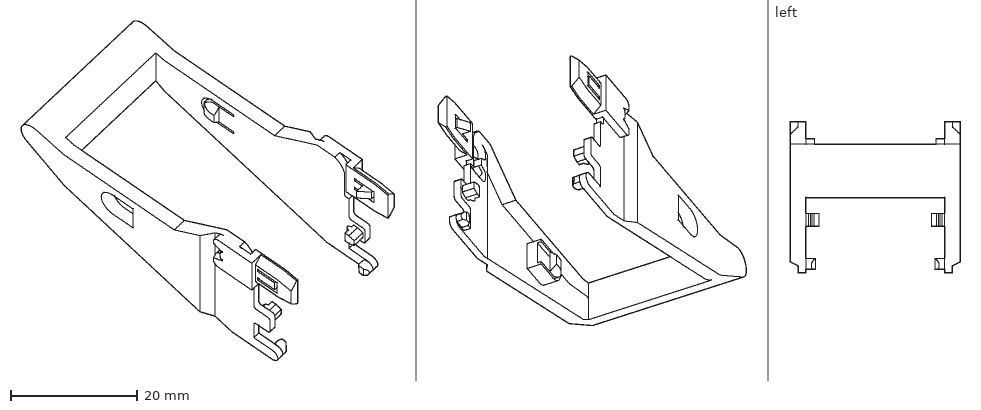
import cadquery as cq
import math

LENGTH = 55.4
WIDTH = 27.0
HEIGHT = 23.95
WALL = 2.5

HANDLE_RADIUS = 2.55
HANDLE_Z = 17.85
BAR_DEPTH = 7.15
HANDLE_TOP_CORNER = (8.9, 18.8)
HANDLE_BOTTOM_CORNER = (9.0, 10.7)

SLOPE_FOOT_X = 31.85
SLOPE_TOP_X = 40.65
SLOPE_TOP_RADIUS = 1.2
BASE_START_X = 42.75
WALL_END_X = 47.3
WALL_NECK_X = 46.4
NECK_Z = 15.45
CREST_END_X = 44.4
CREST_RADIUS = 3.45
TAB_END_X = 50.7
TAB_BOTTOM = 6.5
TAB_TOP = 10.3
CORNER_RADIUS = 0.55
NECK_RADIUS = 0.35
FOOT_END_X = 52.3
FOOT_HEIGHT = 2.45

SHOULDER_START_X = 37.2
SHOULDER_END_X = 39.3
PAD_DEPTH = 1.3

PAD_START_X = 40.0
PAD_END_X = 48.0
PAD_BOTTOM = 16.85
PAD_RADIUS = 1.05
PAD_MID_Z = (PAD_BOTTOM + HEIGHT) / 2
BLOCK_START_X = 46.65

NOTCH_DEPTH = 1.4
BARB_DEPTH = 1.9
NOTCH_HALF = 0.65
NOTCH_SLOPE = 0.4
NOTCH_FLARE = 0.65
FLARE_DEPTH = 0.8
NOTCH_LIP_RADIUS = 0.45

ARM_OUTER_Y = 0.9
ARM_TAPER_X = 52.75
ARM_TAPER = 0.5
ARM_CHAMFER = 1.35
ARM_SLOT_START_X = 48.4
ARM_SLOT_END_X = 52.45
ARM_SLOT_HALF = 1.4
ARM_SLOT_GAP = 0.5
LATCH_START_X = 50.1
LATCH_HEIGHT = 1.4

WINDOW_END_X = 23.25
WINDOW_CENTER_X = 19.15
WINDOW_Z = 14.4
WINDOW_RADIUS = 2.5
WINDOW_GAP = 0.5
TONGUE_RADIUS = WINDOW_RADIUS - WINDOW_GAP
TONGUE_TIP_X = WINDOW_CENTER_X - TONGUE_RADIUS
TONGUE_BEND_X = 19.65
TONGUE_THICKNESS = 0.65
TIP_THICKNESS = 0.3
BUMP_HEIGHT = 1.2
BUMP_FLAT_X = 19.4
BUMP_END_X = 20.35
BUMP_MID = (18.15, 3.4)
BUMP_FLAT_HALF = 0.95

PEG_START_X = 48.25
PEG_END_X = 50.2
PEG_BOTTOM = 7.35
PEG_TOP = 9.4
PEG_HEIGHT = 2.1
PEG_BEVEL_X = 1.1
PEG_BEVEL_Z = 0.4
RIB_DEPTH = 0.55
RIB_START_Y = 2.95
RIB_WIDTH = 0.85
RIB_TAPER = 0.3

FOOT_PEG_RADIUS = 1.1
FOOT_PEG_HEIGHT = 1.55
FOOT_PEG_BOTTOM = 0.55
FOOT_PEG_CHAMFER = 0.65


def prism_y(points, y_start, y_end):
    """Extrude an XZ outline from y_start to y_end."""
    plane = cq.Workplane("XZ", origin=(0, y_start, 0))
    return plane.polyline(points).close().extrude(y_start - y_end)


def prism_z(points, z_start, z_end):
    """Extrude an XY outline from z_start to z_end."""
    plane = cq.Workplane("XY").workplane(offset=z_start)
    return plane.polyline(points).close().extrude(z_end - z_start)


def box(x_range, y_range, z_range):
    size = [end - start for start, end in (x_range, y_range, z_range)]
    corner = (x_range[0], y_range[0], z_range[0])
    return cq.Workplane("XY").box(*size, centered=False).translate(corner)


def round_corner(body, x, z, radius):
    """Fillet the edge along Y that passes nearest to (x, z)."""
    nearest = cq.selectors.NearestToPointSelector((x, WALL / 2, z))
    return body.edges("|Y").edges(nearest).fillet(radius)


def handle_tangent(corner, side):
    """Point where the line through corner touches the handle circle; side is +1 for its top."""
    dx = corner[0] - HANDLE_RADIUS
    dz = corner[1] - HANDLE_Z
    angle = math.atan2(dz, dx) + side * math.acos(HANDLE_RADIUS / math.hypot(dx, dz))
    x = HANDLE_RADIUS * (1 + math.cos(angle))
    z = HANDLE_Z + HANDLE_RADIUS * math.sin(angle)
    return (x, z)


def crest_arc():
    """Middle and end of the arc from the wall top to the neck, which it meets tangentially."""
    center_x = WALL_NECK_X - CREST_RADIUS
    start_angle = math.acos((CREST_END_X - center_x) / CREST_RADIUS)
    center_z = HEIGHT - CREST_RADIUS * math.sin(start_angle)
    middle = (
        center_x + CREST_RADIUS * math.cos(start_angle / 2),
        center_z + CREST_RADIUS * math.sin(start_angle / 2),
    )
    return middle, (WALL_NECK_X, center_z)


def wall_blank(thickness):
    """Side profile at full thickness, with its corners rounded."""
    profile = (
        cq.Workplane("XZ")
        .moveTo(*handle_tangent(HANDLE_BOTTOM_CORNER, -1))
        .threePointArc((0, HANDLE_Z), handle_tangent(HANDLE_TOP_CORNER, 1))
        .lineTo(*HANDLE_TOP_CORNER)
        .lineTo(SLOPE_FOOT_X, HANDLE_TOP_CORNER[1])
        .lineTo(SLOPE_TOP_X, HEIGHT)
        .lineTo(CREST_END_X, HEIGHT)
        .threePointArc(*crest_arc())
        .lineTo(WALL_NECK_X, NECK_Z)
        .lineTo(WALL_END_X, NECK_Z)
        .lineTo(WALL_END_X, TAB_TOP)
        .lineTo(TAB_END_X, TAB_TOP)
        .lineTo(TAB_END_X, TAB_BOTTOM)
        .lineTo(WALL_END_X, TAB_BOTTOM)
        .lineTo(WALL_END_X, FOOT_HEIGHT)
        .lineTo(FOOT_END_X - FOOT_HEIGHT / 2, FOOT_HEIGHT)
        .threePointArc((FOOT_END_X, FOOT_HEIGHT / 2), (FOOT_END_X - FOOT_HEIGHT / 2, 0))
        .lineTo(BASE_START_X, 0)
        .lineTo(*HANDLE_BOTTOM_CORNER)
        .close()
    )
    body = profile.extrude(-thickness)
    for x in (WALL_END_X, TAB_END_X):
        for z in (TAB_BOTTOM, TAB_TOP):
            body = round_corner(body, x, z, CORNER_RADIUS)
    body = round_corner(body, WALL_NECK_X, NECK_Z, NECK_RADIUS)
    return round_corner(body, SLOPE_TOP_X, HEIGHT, SLOPE_TOP_RADIUS)


def rear_relief():
    """Volume removed outside the thinned rear part of the wall."""
    outline = [
        (SHOULDER_START_X, 0),
        (SHOULDER_END_X, PAD_DEPTH),
        (LENGTH, PAD_DEPTH),
        (LENGTH, 0),
    ]
    return prism_z(outline, 0, HEIGHT)


def notch_outline(depth, flare):
    """Trapezoid narrowing from the pad front edge to the given depth."""
    half_end = NOTCH_HALF + flare - NOTCH_SLOPE * (depth - NOTCH_DEPTH)
    half_start = half_end + NOTCH_SLOPE * depth
    end_x = PAD_START_X + depth
    return [
        (PAD_START_X, PAD_MID_Z - half_start),
        (end_x, PAD_MID_Z - half_end),
        (end_x, PAD_MID_Z + half_end),
        (PAD_START_X, PAD_MID_Z + half_start),
    ]


def barb_flare():
    """Part of the notch that flares toward the outer face and ends in two barbs."""
    flared = (
        cq.Workplane("XZ")
        .polyline(notch_outline(BARB_DEPTH, NOTCH_FLARE))
        .close()
        .workplane(offset=-FLARE_DEPTH)
        .polyline(notch_outline(BARB_DEPTH, 0))
        .close()
        .loft(ruled=True)
    )
    outer = notch_outline(BARB_DEPTH, NOTCH_FLARE)
    root = notch_outline(NOTCH_DEPTH, 0)
    star = prism_y(outer[:2] + root[1:3] + outer[2:], 0, FLARE_DEPTH)
    return flared.intersect(star)


def pad():
    """Outer pad with its notch and the block that stands behind the wall end."""
    body = box((PAD_START_X, PAD_END_X), (0, PAD_DEPTH), (PAD_BOTTOM, HEIGHT))
    body = body.edges("|Y and <X").fillet(PAD_RADIUS)
    notch = notch_outline(NOTCH_DEPTH, 0)
    body = body.cut(prism_y(notch, 0, PAD_DEPTH))
    for x, z in (notch[0], notch[-1]):
        body = round_corner(body, x, z, NOTCH_LIP_RADIUS)
    block = box((BLOCK_START_X, PAD_END_X), (PAD_DEPTH, WALL), (PAD_BOTTOM, HEIGHT))
    return body.cut(barb_flare()).union(block)


def clip_arm():
    """Tapered, bevelled arm with a U-slot that frees a latch tongue."""
    outline = [
        (PAD_END_X, PAD_BOTTOM),
        (ARM_TAPER_X, PAD_BOTTOM),
        (LENGTH, PAD_BOTTOM + ARM_TAPER),
        (LENGTH, HEIGHT - ARM_TAPER),
        (ARM_TAPER_X, HEIGHT),
        (PAD_END_X, HEIGHT),
    ]
    arm = prism_y(outline, ARM_OUTER_Y, WALL)
    arm = arm.faces("<Y").edges("not |Z").chamfer(ARM_CHAMFER)

    tongue_half = ARM_SLOT_HALF - ARM_SLOT_GAP
    tongue_end_x = ARM_SLOT_END_X - ARM_SLOT_GAP
    tongue_z = (PAD_MID_Z - tongue_half, PAD_MID_Z + tongue_half)
    slot_z = (PAD_MID_Z - ARM_SLOT_HALF, PAD_MID_Z + ARM_SLOT_HALF)
    slot = box((ARM_SLOT_START_X, ARM_SLOT_END_X), (0, WALL), slot_z)
    slot = slot.cut(box((ARM_SLOT_START_X, tongue_end_x), (0, WALL), tongue_z))

    wedge = [
        (LATCH_START_X, WALL),
        (LATCH_START_X, WALL + LATCH_HEIGHT),
        (tongue_end_x, WALL),
    ]
    return arm.cut(slot).union(prism_z(wedge, *tongue_z))


def d_prism(radius, y_start, y_end):
    """Prism with a round front end, filling the window length."""
    return (
        cq.Workplane("XZ", origin=(0, y_start, 0))
        .moveTo(WINDOW_END_X, WINDOW_Z - radius)
        .lineTo(WINDOW_CENTER_X, WINDOW_Z - radius)
        .threePointArc(
            (WINDOW_CENTER_X - radius, WINDOW_Z),
            (WINDOW_CENTER_X, WINDOW_Z + radius),
        )
        .lineTo(WINDOW_END_X, WINDOW_Z + radius)
        .close()
        .extrude(y_start - y_end)
    )


def spring_tongue():
    """Thin tongue with a ramped bump on the inner side."""
    bump_y = WALL + BUMP_HEIGHT
    plan = (
        cq.Workplane("XY")
        .moveTo(TONGUE_TIP_X, WALL - TIP_THICKNESS)
        .lineTo(TONGUE_TIP_X, WALL)
        .threePointArc(BUMP_MID, (BUMP_FLAT_X, bump_y))
        .lineTo(BUMP_END_X, bump_y)
        .lineTo(BUMP_END_X, WALL)
        .lineTo(WINDOW_END_X, WALL)
        .lineTo(WINDOW_END_X, WALL - TONGUE_THICKNESS)
        .lineTo(TONGUE_BEND_X, WALL - TONGUE_THICKNESS)
        .close()
        .extrude(HEIGHT)
    )
    section = [
        (0, WINDOW_Z - TONGUE_RADIUS),
        (WALL, WINDOW_Z - TONGUE_RADIUS),
        (bump_y, WINDOW_Z - BUMP_FLAT_HALF),
        (bump_y, WINDOW_Z + BUMP_FLAT_HALF),
        (WALL, WINDOW_Z + TONGUE_RADIUS),
        (0, WINDOW_Z + TONGUE_RADIUS),
    ]
    bevelled = cq.Workplane("YZ").polyline(section).close().extrude(WINDOW_END_X)
    return d_prism(TONGUE_RADIUS, 0, bump_y).intersect(plan).intersect(bevelled)


def tab_peg():
    """Peg on the middle tab with a bevelled rear and a narrow front rib."""
    outline = [
        (PEG_START_X, PEG_BOTTOM),
        (PEG_END_X - PEG_BEVEL_X, PEG_BOTTOM),
        (PEG_END_X, PEG_BOTTOM + PEG_BEVEL_Z),
        (PEG_END_X, PEG_TOP - PEG_BEVEL_Z),
        (PEG_END_X - PEG_BEVEL_X, PEG_TOP),
        (PEG_START_X, PEG_TOP),
    ]
    rib_end_y = RIB_START_Y + RIB_WIDTH
    rib_x = PEG_START_X - RIB_DEPTH
    rib = [
        (PEG_START_X, RIB_START_Y),
        (rib_x, RIB_START_Y + RIB_TAPER),
        (rib_x, rib_end_y - RIB_TAPER),
        (PEG_START_X, rib_end_y),
    ]
    peg = prism_y(outline, WALL, WALL + PEG_HEIGHT)
    return peg.union(prism_z(rib, PEG_BOTTOM, PEG_TOP))


def foot_peg():
    """Round peg on the foot, flat underneath and chamfered fore and aft at its tip."""
    start_x = FOOT_END_X - 2 * FOOT_PEG_RADIUS
    tip_y = WALL + FOOT_PEG_HEIGHT
    round_peg = (
        cq.Workplane("XZ", origin=(FOOT_END_X - FOOT_PEG_RADIUS, WALL, FOOT_HEIGHT / 2))
        .circle(FOOT_PEG_RADIUS)
        .extrude(-FOOT_PEG_HEIGHT)
    )
    plan = [
        (start_x, WALL),
        (start_x, tip_y - FOOT_PEG_CHAMFER),
        (start_x + FOOT_PEG_CHAMFER, tip_y),
        (FOOT_END_X - FOOT_PEG_CHAMFER, tip_y),
        (FOOT_END_X, tip_y - FOOT_PEG_CHAMFER),
        (FOOT_END_X, WALL),
    ]
    return round_peg.intersect(prism_z(plan, FOOT_PEG_BOTTOM, FOOT_HEIGHT))


def side():
    """One complete side, with its outer face at Y = 0."""
    body = wall_blank(WALL).cut(rear_relief())
    body = body.cut(d_prism(WINDOW_RADIUS, 0, WALL))
    for feature in (pad(), clip_arm(), spring_tongue(), tab_peg(), foot_peg()):
        body = body.union(feature)
    return body


near_side = side()
far_side = near_side.mirror("XZ").translate((0, WIDTH, 0))
bar = wall_blank(WIDTH).intersect(box((0, BAR_DEPTH), (0, WIDTH), (0, HEIGHT)))
result = near_side.union(far_side).union(bar)